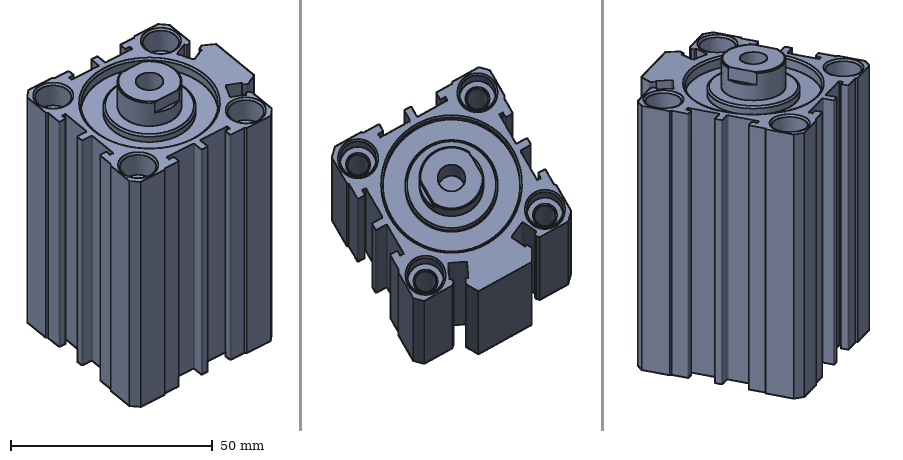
import cadquery as cq
import math

body_width = 45.0
body_height = 73.0
half_width = body_width / 2
corner_chamfer = 2.0

relief_depth = 0.4
relief_half_width = 12.55
relief_slope_length = relief_depth

slot_half_width = 8.1
undercut_half_width = 9.55
lip_inner_distance = 20.0
slot_floor_distance = 19.0
rib_width = 2.0
slot_edge_fillet = 0.2

rail_top_y = 27.0
rail_top_half_width = 7.6
rail_edge_half_width = 9.4
rail_edge_y = 23.85
rail_edge_fillet = 0.5

sensor_slot_tilt = 25.0
sensor_slot_width = 4.75
sensor_slot_depth = 4.15
sensor_slot_corner_x = 10.6
sensor_slot_corner_y = 17.0
sensor_slot_fillet = 0.4
rail_lip = 0.7
corner_lip_x = 11.75
corner_lip_bottom_y = 20.6
corner_lip_chamfer = 0.7

mount_hole_offset = 17.0
mount_hole_diameter = 5.2
mount_hole_chamfer = 0.4
counterbore_diameter = 9.0
counterbore_depth = 7.0
counterbore_chamfer = 0.5

recess_diameter = 34.0
recess_depth = 3.0
recess_chamfer = 0.5
collar_diameter = 23.0
collar_height = 2.2
collar_chamfer = 0.5

rod_diameter = 16.0
rod_protrusion = 7.0
rod_insertion = 20.0
rod_top_chamfer = 0.3
flat_width = 14.0
flat_length = 3.5
rod_hole_diameter = 6.8
rod_hole_depth = 13.0

recess_floor_z = body_height - recess_depth
rod_top_z = body_height + rod_protrusion
rod_bottom_z = body_height - rod_insertion


def prism(points):
    """Closed outline in XY, extruded over the housing height."""
    return cq.Workplane("XY").polyline(points).close().extrude(body_height)


def fillet_upright_edges(body, points, radius):
    """Round the vertical edges of a prism that stand at the given XY points."""
    for x, y in points:
        nearest_edge = cq.selectors.NearestToPointSelector((x, y, body_height / 2))
        body = body.edges("|Z").edges(nearest_edge).fillet(radius)
    return body


def slotted_face_cut():
    """Relief and ribbed T-slot of the -Y face, with rounded lips and rounded rib edges."""
    relief_y = -half_width + relief_depth
    slope_half_width = relief_half_width + relief_slope_length
    rib_half_width = rib_width / 2
    right_slot_edge = [
        (rib_half_width, relief_y),
        (rib_half_width, -slot_floor_distance),
        (undercut_half_width, -slot_floor_distance),
        (undercut_half_width, -lip_inner_distance),
        (slot_half_width, -lip_inner_distance),
        (slot_half_width, relief_y),
    ]
    left_slot_edge = [(-x, y) for x, y in reversed(right_slot_edge)]
    cut = prism([
        (slope_half_width, -half_width),
        (-slope_half_width, -half_width),
        (-relief_half_width, relief_y),
        *left_slot_edge,
        *right_slot_edge,
        (relief_half_width, relief_y),
    ])
    rounded = [
        (side * x, y)
        for side in (-1, 1)
        for x, y in (
            (rib_half_width, relief_y),
            (rib_half_width, -slot_floor_distance),
            (slot_half_width, -lip_inner_distance),
            (slot_half_width, relief_y),
        )
    ]
    return fillet_upright_edges(cut, rounded, slot_edge_fillet)


def sensor_slot_point(across, out):
    """XY point of the +X sensor slot: across its floor toward the rail, and out from the floor."""
    tilt = math.radians(sensor_slot_tilt)
    x = sensor_slot_corner_x - across * math.cos(tilt) + out * math.sin(tilt)
    y = sensor_slot_corner_y + across * math.sin(tilt) + out * math.cos(tilt)
    return (x, y)


rail_lip_corner = sensor_slot_point(sensor_slot_width - rail_lip, sensor_slot_depth)


def rail():
    """Bevelled rail on the +Y face, running down into the block."""
    lip_x, lip_y = rail_lip_corner
    right_side = [
        (lip_x, lip_y),
        (rail_edge_half_width, rail_edge_y),
        (rail_top_half_width, rail_top_y),
    ]
    left_side = [(-x, y) for x, y in reversed(right_side)]
    edges = [(side * rail_edge_half_width, rail_edge_y) for side in (-1, 1)]
    return fillet_upright_edges(prism(right_side + left_side), edges, rail_edge_fillet)


def sensor_slot():
    """Tilted chamber and open mouth of the +X sensor slot."""
    chamber = prism([
        sensor_slot_point(0, 0),
        sensor_slot_point(sensor_slot_width, 0),
        sensor_slot_point(sensor_slot_width, sensor_slot_depth),
        sensor_slot_point(0, sensor_slot_depth),
    ])
    floor_corners = [sensor_slot_point(across, 0) for across in (0, sensor_slot_width)]
    chamber = fillet_upright_edges(chamber, floor_corners, sensor_slot_fillet)
    mouth = prism([
        sensor_slot_point(sensor_slot_width / 2, sensor_slot_depth / 2),
        (corner_lip_x, corner_lip_bottom_y),
        (corner_lip_x, half_width - corner_lip_chamfer),
        (corner_lip_x + corner_lip_chamfer, half_width),
        (rail_edge_half_width, rail_edge_y),
        rail_lip_corner,
    ])
    return chamber.union(mouth)


def mounting_hole():
    """Through hole with a counterbore from the top; both mouths are chamfered."""
    hole_radius = mount_hole_diameter / 2
    bore_radius = counterbore_diameter / 2
    bore_floor_z = body_height - counterbore_depth
    return (
        cq.Workplane("XZ")
        .moveTo(0, 0)
        .lineTo(hole_radius, 0)
        .lineTo(hole_radius, bore_floor_z - mount_hole_chamfer)
        .lineTo(hole_radius + mount_hole_chamfer, bore_floor_z)
        .lineTo(bore_radius, bore_floor_z)
        .lineTo(bore_radius, body_height - counterbore_chamfer)
        .lineTo(bore_radius + counterbore_chamfer, body_height)
        .lineTo(0, body_height)
        .close()
        .revolve(360, (0, 0, 0), (0, 1, 0))
    )


def top_recess():
    """Round recess with a chamfered rim, leaving the collar standing on its floor."""
    pocket = (
        cq.Workplane("XY", origin=(0, 0, recess_floor_z))
        .circle(recess_diameter / 2)
        .extrude(recess_depth)
    )
    rim = (
        cq.Workplane("XY", origin=(0, 0, body_height))
        .circle(recess_diameter / 2 + recess_chamfer)
        .extrude(-recess_chamfer, taper=45)
    )
    collar = (
        cq.Workplane("XY", origin=(0, 0, recess_floor_z))
        .circle(collar_diameter / 2)
        .extrude(collar_height)
        .faces(">Z")
        .chamfer(collar_chamfer)
    )
    return pocket.union(rim).cut(collar)


def make_housing():
    housing = (
        cq.Workplane("XY")
        .rect(body_width, body_width)
        .extrude(body_height)
        .edges("|Z")
        .chamfer(corner_chamfer)
        .union(rail())
    )
    right_sensor_slot = sensor_slot()
    housing = housing.cut(right_sensor_slot).cut(right_sensor_slot.mirror("YZ"))

    face_cut = slotted_face_cut()
    for angle in (-90, 0, 90):
        housing = housing.cut(face_cut.rotate((0, 0, 0), (0, 0, 1), angle))

    hole = mounting_hole()
    for x in (-mount_hole_offset, mount_hole_offset):
        for y in (-mount_hole_offset, mount_hole_offset):
            housing = housing.cut(hole.translate((x, y, 0)))

    rod_bore = (
        cq.Workplane("XY", origin=(0, 0, rod_bottom_z))
        .circle(rod_diameter / 2)
        .extrude(rod_insertion)
    )
    return housing.cut(top_recess()).cut(rod_bore)


def make_rod():
    """Rod with two wrench flats facing +X and -X and a blind hole in its end."""
    rod = (
        cq.Workplane("XY", origin=(0, 0, rod_bottom_z))
        .circle(rod_diameter / 2)
        .extrude(rod_insertion + rod_protrusion)
        .faces(">Z")
        .chamfer(rod_top_chamfer)
    )
    flat_cut_depth = (rod_diameter - flat_width) / 2
    for side in (-1, 1):
        flat_cut = (
            cq.Workplane("XY", origin=(side * (flat_width + flat_cut_depth) / 2, 0, rod_top_z))
            .rect(flat_cut_depth, rod_diameter)
            .extrude(-flat_length)
        )
        rod = rod.cut(flat_cut)
    return rod.faces(">Z").workplane(origin=(0, 0, 0)).hole(rod_hole_diameter, rod_hole_depth)


housing = make_housing()
rod = make_rod()

result = cq.Compound.makeCompound([housing.val(), rod.val()])